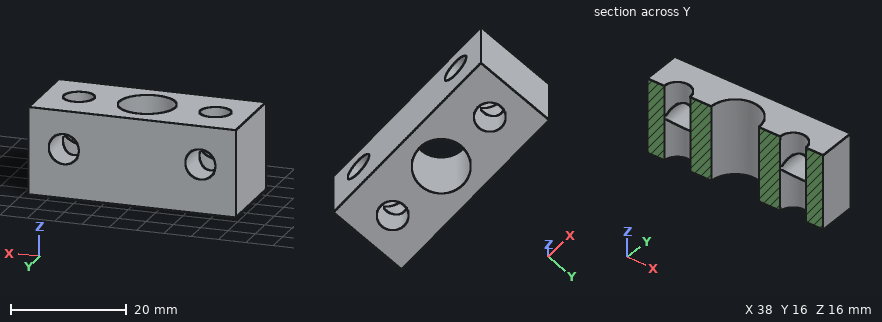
import cadquery as cq

length = 38.0
width = 16.0
height = 16.0

bore_diameter = 10.2
screw_hole_diameter = 5.5
screw_hole_spacing = 25.0
cross_hole_height = 9.0

screw_hole_positions = [-screw_hole_spacing / 2, screw_hole_spacing / 2]


def make_block():
    """Block centred on X and Y, with its base at Z = 0."""
    return cq.Workplane("XY").box(length, width, height, centered=(True, True, False))


def vertical_hole(x, diameter):
    """Cylinder along Z through the full height, on the block's centre plane."""
    return cq.Workplane("XY").center(x, 0).circle(diameter / 2).extrude(height)


def cross_hole(x):
    """Cylinder along Y through the full width."""
    return (
        cq.Workplane("XZ")
        .center(x, cross_hole_height)
        .circle(screw_hole_diameter / 2)
        .extrude(width / 2, both=True)
    )


result = make_block().cut(vertical_hole(0, bore_diameter))
for hole_x in screw_hole_positions:
    result = result.cut(vertical_hole(hole_x, screw_hole_diameter))
    result = result.cut(cross_hole(hole_x))